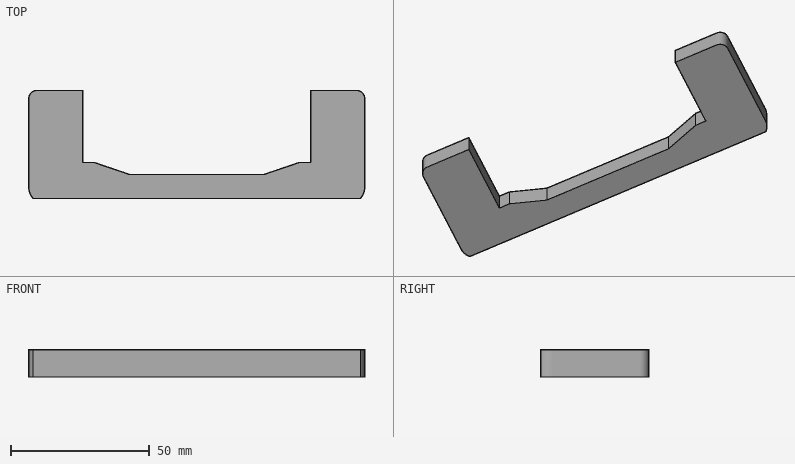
import cadquery as cq
import math

length = 121.3
depth = 39.0
thickness = 10.0

leg_width = 19.5
shoulder_depth = 13.1
grip_depth = 8.7
shoulder_length = 4.0
taper_length = 12.9

back_corner_radius = 3.0
front_corner_radius = 6.1
front_corner_rise = 4.1

front_corner_inset = front_corner_radius - math.sqrt(front_corner_radius**2 - front_corner_rise**2)

side_x = length / 2
leg_inner_x = side_x - leg_width
shoulder_end_x = leg_inner_x - shoulder_length
grip_end_x = shoulder_end_x - taper_length

front_y = -depth / 2
back_y = depth / 2
shoulder_y = front_y + shoulder_depth
grip_y = front_y + grip_depth


def make_half():
    """Right half of the handle, from the middle plane to the +X side."""
    return (
        cq.Workplane("XY")
        .workplane(offset=-thickness / 2)
        .moveTo(0, front_y)
        .lineTo(side_x - front_corner_inset, front_y)
        .radiusArc((side_x, front_y + front_corner_rise), -front_corner_radius)
        .lineTo(side_x, back_y - back_corner_radius)
        .radiusArc((side_x - back_corner_radius, back_y), -back_corner_radius)
        .lineTo(leg_inner_x, back_y)
        .lineTo(leg_inner_x, shoulder_y)
        .lineTo(shoulder_end_x, shoulder_y)
        .lineTo(grip_end_x, grip_y)
        .lineTo(0, grip_y)
        .close()
        .extrude(thickness)
    )


half = make_half()
result = half.union(half.mirror("YZ")).clean()